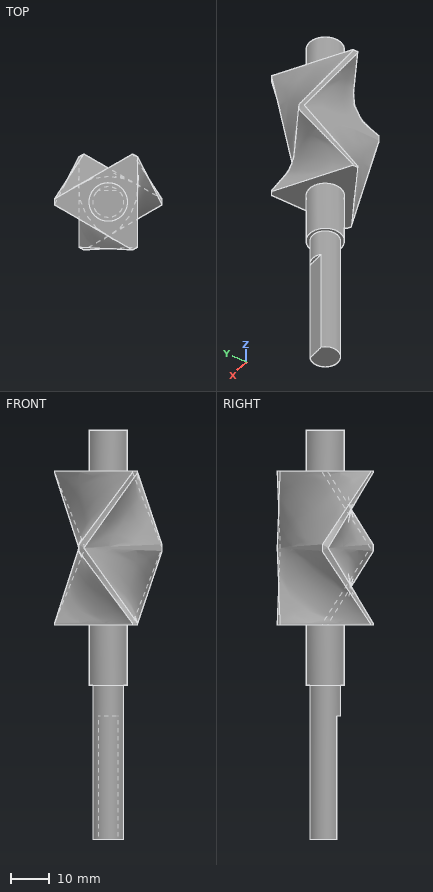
import cadquery as cq
import math

total_height = 106.0
spindle_diameter = 10.0
shank_diameter = 8.0
shank_length = 40.0
flat_length = 32.0
flat_depth = 1.0

body_bottom = 55.5
body_height = 40.0
body_width = 27.9
body_depth = 24.9
twist_angle = 60
corner_reach = body_width / 2
corner_width = (body_depth - body_width * math.sin(math.radians(60))) / math.cos(math.radians(60))
waist_band_height = 1.7
end_lip = 0.4
body_middle = body_bottom + body_height / 2
body_top = body_bottom + body_height


def blunt_triangle(first_corner_angle, before_z, after_z):
    """Six points, two per corner, with separate heights before and after each blunt face."""
    points = []
    for corner in range(3):
        angle = math.radians(first_corner_angle + 120 * corner)
        for side, z in ((-1, before_z), (1, after_z)):
            offset = side * corner_width / 2
            x = corner_reach * math.cos(angle) - offset * math.sin(angle)
            y = corner_reach * math.sin(angle) + offset * math.cos(angle)
            points.append(cq.Vector(x, y, z))
    return points


def flat_face(points):
    return cq.Face.makeFromWires(cq.Wire.makePolygon(points, close=True))


def ruled_sides(lower, upper):
    """Straight-ruled faces joining two six-point rings."""
    faces = []
    for i in range(6):
        j = (i + 1) % 6
        lower_edge = cq.Edge.makeLine(lower[i], lower[j])
        upper_edge = cq.Edge.makeLine(upper[i], upper[j])
        faces.append(cq.Face.makeRuledSurface(lower_edge, upper_edge))
    return faces


def make_body():
    """The triangle twists up to the waist and back again above it."""
    band = waist_band_height / 2
    bottom = blunt_triangle(twist_angle, body_bottom, body_bottom)
    bottom_rim = blunt_triangle(twist_angle, body_bottom + end_lip, body_bottom + end_lip)
    waist_lower = blunt_triangle(0, body_middle - band, body_middle)
    waist_upper = blunt_triangle(0, body_middle + band, body_middle)
    top_rim = blunt_triangle(twist_angle, body_top - end_lip, body_top - end_lip)
    top = blunt_triangle(twist_angle, body_top, body_top)

    faces = [flat_face(bottom), flat_face(top)]
    faces += ruled_sides(bottom, bottom_rim)
    faces += ruled_sides(bottom_rim, waist_lower)
    faces += ruled_sides(waist_upper, top_rim)
    faces += ruled_sides(top_rim, top)
    for i in range(0, 6, 2):
        for sharp_point in (waist_lower[i - 1], waist_lower[i + 1]):
            faces.append(flat_face([waist_lower[i], waist_upper[i], sharp_point]))
    return cq.Workplane(cq.Solid.makeSolid(cq.Shell.makeShell(faces)).fix())


def make_shaft():
    shank = cq.Workplane().circle(shank_diameter / 2).extrude(shank_length)
    flat_cutter = (
        cq.Workplane()
        .center(0, shank_diameter - flat_depth)
        .rect(2 * shank_diameter, shank_diameter)
        .extrude(flat_length)
    )
    spindle = (
        cq.Workplane()
        .workplane(offset=shank_length)
        .circle(spindle_diameter / 2)
        .extrude(total_height - shank_length)
    )
    return shank.cut(flat_cutter).union(spindle)


result = make_shaft().union(make_body())